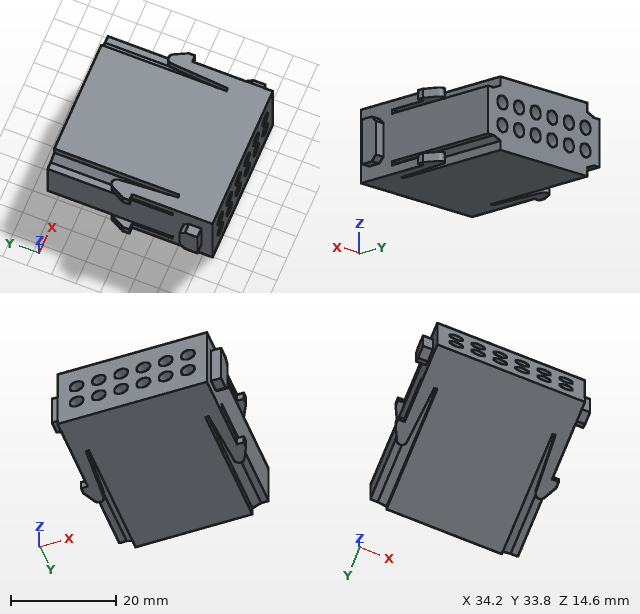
import math

import cadquery as cq

body_width = 30.2
body_length = 33.8
body_height = 14.6
half_width = body_width / 2
half_height = body_height / 2

hole_diameter = 2.7
hole_pitch = 4.5
hole_columns = 6
hole_rows = 2

key_projection = 2.0
key_length = 3.65
key_front_gap = 2.3
key_chamfer = 1.1
left_key_height = 7.0
right_key_height = 8.9

slot_length = 25.6
slot_width = 3.3
slot_ledge_width = 1.5
slot_depth = 2.55
slot_inner_depth = 1.8
slot_end_y = body_length - slot_length

arm_thickness = slot_inner_depth
arm_root_gap = 0.6
arm_root_width = slot_width - arm_root_gap
arm_tip_radius = 1.0
arm_tip_inset = 0.9
arm_tip_y = body_length - 12.8 - arm_tip_radius
barb_projection = 1.35
barb_catch_y = body_length - 17.3
barb_flat_length = 1.3
arm_root_overlap = 1.0


def tangent_point(point, center, radius, side):
    """Point where a line from `point` touches a circle; side is +1 (counterclockwise) or -1."""
    dx = point[0] - center[0]
    dy = point[1] - center[1]
    angle = math.atan2(dy, dx) + side * math.acos(radius / math.hypot(dx, dy))
    return (center[0] + radius * math.cos(angle), center[1] + radius * math.sin(angle))


def four_corners(solid):
    """The solid at the +X, +Z corner together with its three mirror images."""
    pair = solid.union(solid.mirror("YZ"))
    return pair.union(pair.mirror("XY"))


def edge_slot():
    """Slot at the +X, +Z edge: upright inner wall, sloped floor, then a flat ledge."""
    inner_x = half_width - slot_width
    ledge_x = half_width - slot_ledge_width
    floor_z = half_height - slot_depth
    profile = [
        (inner_x, half_height),
        (inner_x, half_height - slot_inner_depth),
        (ledge_x, floor_z),
        (half_width, floor_z),
        (half_width, half_height),
    ]
    return (
        cq.Workplane("XZ", origin=(0, slot_end_y, 0))
        .polyline(profile)
        .close()
        .extrude(-slot_length)
    )


def latch_arm():
    """Tapered arm at the +X, +Z edge with a rounded tip and an outward barb."""
    tip_center = (half_width - arm_tip_inset, arm_tip_y)
    barb_x = half_width + barb_projection
    barb_shoulder = (barb_x, barb_catch_y + barb_flat_length)
    root_inner = (half_width - arm_root_width, slot_end_y)
    outer_tangent = tangent_point(barb_shoulder, tip_center, arm_tip_radius, 1)
    inner_tangent = tangent_point(root_inner, tip_center, arm_tip_radius, -1)
    tip_top = (tip_center[0], tip_center[1] + arm_tip_radius)
    root_y = slot_end_y - arm_root_overlap
    return (
        cq.Workplane("XY", origin=(0, 0, half_height - arm_thickness))
        .moveTo(root_inner[0], root_y)
        .lineTo(half_width, root_y)
        .lineTo(half_width, barb_catch_y)
        .lineTo(barb_x, barb_catch_y)
        .lineTo(*barb_shoulder)
        .lineTo(*outer_tangent)
        .threePointArc(tip_top, inner_tangent)
        .lineTo(*root_inner)
        .close()
        .extrude(arm_thickness)
    )


def coding_key(side, height):
    """Key on the -X (side = -1) or +X (side = +1) wall, chamfered at its two rear corners."""
    front_y = key_front_gap
    back_y = front_y + key_length
    half_key = height / 2
    profile = [
        (front_y, -half_key),
        (back_y - key_chamfer, -half_key),
        (back_y, -half_key + key_chamfer),
        (back_y, half_key - key_chamfer),
        (back_y - key_chamfer, half_key),
        (front_y, half_key),
    ]
    return (
        cq.Workplane("YZ", origin=(side * half_width, 0, 0))
        .polyline(profile)
        .close()
        .extrude(side * key_projection)
    )


def contact_holes():
    return (
        cq.Workplane("XZ")
        .rarray(hole_pitch, hole_pitch, hole_columns, hole_rows)
        .circle(hole_diameter / 2)
        .extrude(-body_length)
    )


body = cq.Workplane("XY").box(body_width, body_length, body_height, centered=(True, False, True))
body = body.cut(four_corners(edge_slot()))
body = body.union(four_corners(latch_arm()))
body = body.union(coding_key(-1, left_key_height))
body = body.union(coding_key(1, right_key_height))
result = body.cut(contact_holes())